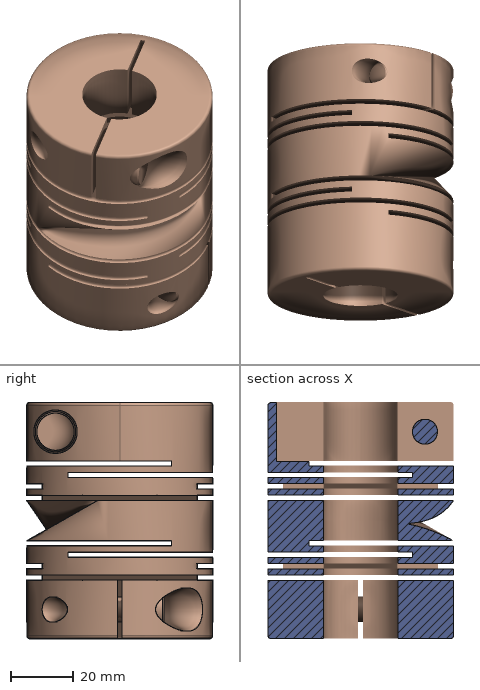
import cadquery as cq

outer_diameter = 60.0
length = 76.2
bore_diameter = 24.0
rim_fillet = 1.0
outer_radius = outer_diameter / 2

hub_length = 18.9
slot_width = 1.6
slot_pitch = 3.7
slot_reach = 16.6
slots_per_group = 4
group_height = (slots_per_group - 1) * slot_pitch + slot_width

slit_width = 1.5
slit_reach = 27.0

screw_diameter = 8.2
screw_offset = 20.7
screw_length = 23.0
tip_chamfer = 0.8
head_diameter = 13.0
head_height = 8.0
head_face = 14.2
head_chamfer = 0.5
counterbore_diameter = 14.0
head_seat = head_face - head_height

half_length = length / 2
hub_center = half_length - hub_length / 2
upper_group_top = half_length - hub_length
lower_group_top = -half_length + hub_length + group_height


def make_body():
    """Bored cylinder with rounded outer rims, centered on the origin."""
    body = cq.Workplane("XY").circle(outer_radius).extrude(half_length, both=True)
    body = body.faces("<Z or >Z").edges().fillet(rim_fillet)
    bore = cq.Workplane("XY").circle(bore_diameter / 2).extrude(half_length, both=True)
    return body.cut(bore)


def side_cut(reach, width, z_bottom, height):
    """Box open toward -Y that stops at y = reach."""
    depth = outer_radius + reach
    box = cq.Workplane("XY").box(width, depth, height, centered=(True, False, False))
    return box.translate((0, -outer_radius, z_bottom))


def turned(shape, angle):
    """Rotate a shape about the coupling axis."""
    return shape.rotate((0, 0, 0), (0, 0, 1), angle)


def make_slots(top):
    """Four slots stepping downward, open toward -Y, +Y, -X and +X."""
    slots = cq.Workplane("XY")
    for index, angle in enumerate((0, 180, -90, 90)):
        z_bottom = top - index * slot_pitch - slot_width
        slot = side_cut(slot_reach, outer_diameter, z_bottom, slot_width)
        slots = slots.add(turned(slot, angle))
    return slots.combine()


def x_cylinder(diameter, x_start, x_end):
    """Cylinder on the axis of the top clamp screw."""
    plane = cq.Plane(origin=(x_start, -screw_offset, hub_center), xDir=(0, 1, 0), normal=(1, 0, 0))
    return cq.Workplane(plane).circle(diameter / 2).extrude(x_end - x_start)


def make_clamp_cuts():
    """Slit, screw hole and counterbore of the top hub."""
    slit = side_cut(slit_reach, slit_width, upper_group_top, hub_length)
    hole = x_cylinder(screw_diameter, -outer_radius, head_seat)
    counterbore = x_cylinder(counterbore_diameter, head_seat, outer_radius)
    return slit.union(hole).union(counterbore)


def make_screw():
    """Clamp screw of the top hub, with its head toward +X."""
    shank = x_cylinder(screw_diameter, head_seat - screw_length, head_seat)
    shank = shank.faces("<X").chamfer(tip_chamfer)
    head = x_cylinder(head_diameter, head_seat, head_face)
    head = head.faces(">X").chamfer(head_chamfer)
    return shank.union(head)


def to_bottom_hub(shape):
    """Move a top-hub shape to the bottom hub, a quarter turn further round."""
    return turned(shape.mirror("XY"), 90)


body = make_body()
for group_top in (upper_group_top, lower_group_top):
    body = body.cut(make_slots(group_top))

clamp_cuts = make_clamp_cuts()
screw = make_screw()
body = body.cut(clamp_cuts).cut(to_bottom_hub(clamp_cuts))
result = body.union(screw).union(to_bottom_hub(screw))